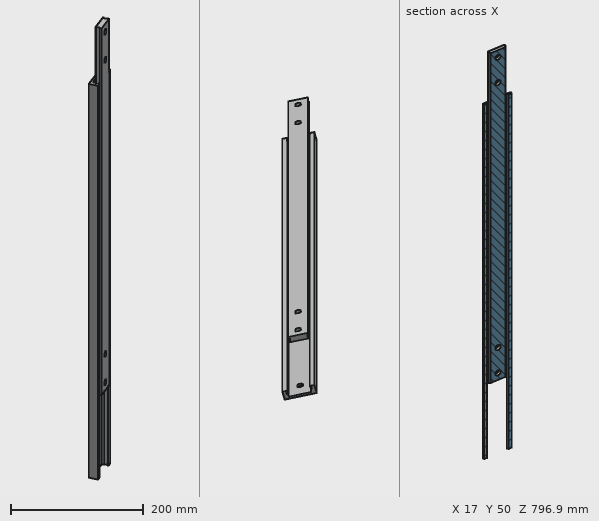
import cadquery as cq

total_depth = 17.0
total_length = 796.85

rail_width = 50.0
rail_depth = 15.0
rail_length = 700.0
web_thickness = 4.0
rail_opening = 35.0

slider_width = 30.5
slider_thickness = 10.0
slider_length = 652.0

groove_radius = 3.0
groove_depth = 2.0
groove_x = 11.0

hole_diameter = 9.0
rail_hole_end_distance = 25.0
slider_hole_end_distance = 14.5
slider_hole_pitch = 50.0

slider_bottom = total_length - slider_length
slider_back = total_depth - slider_thickness


def bar(x_start, depth, width, bottom, length):
    """Upright rectangular bar centred on Y = 0."""
    plane = cq.Workplane("XY", origin=(x_start, 0, bottom))
    return plane.box(depth, width, length, centered=(False, True, False))


def upright_rod(y, bottom, length):
    """Round rod that cuts one running groove."""
    return cq.Workplane("XY", origin=(groove_x, y, bottom)).circle(groove_radius).extrude(length)


def drill_holes(body, heights):
    """Round holes right through the body along X, on its centre line."""
    for height in heights:
        drill = cq.Workplane("YZ", origin=(0, 0, height)).circle(hole_diameter / 2).extrude(total_depth)
        body = body.cut(drill)
    return body


def make_rail():
    rail = bar(0, rail_depth, rail_width, 0, rail_length)
    rail = rail.cut(bar(web_thickness, rail_depth, rail_opening, 0, rail_length))
    groove_y = rail_opening / 2 + groove_depth - groove_radius
    for side in (-1, 1):
        rail = rail.cut(upright_rod(side * groove_y, 0, rail_length))
    heights = [rail_hole_end_distance, rail_length / 2, rail_length - rail_hole_end_distance]
    return drill_holes(rail, heights)


def make_slider():
    slider = bar(slider_back, slider_thickness, slider_width, slider_bottom, slider_length)
    groove_y = slider_width / 2 - groove_depth + groove_radius
    for side in (-1, 1):
        slider = slider.cut(upright_rod(side * groove_y, slider_bottom, slider_length))
    end_distances = (slider_hole_end_distance, slider_hole_end_distance + slider_hole_pitch)
    heights = [total_length - distance for distance in end_distances]
    heights += [slider_bottom + distance for distance in end_distances]
    return drill_holes(slider, heights)


rail = make_rail()
slider = make_slider()

result = cq.Compound.makeCompound([rail.val(), slider.val()])